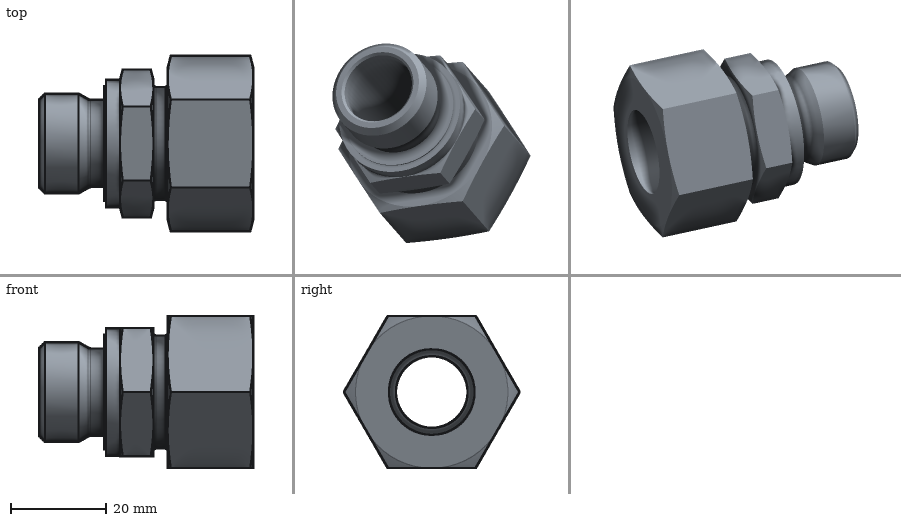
import cadquery as cq
import math


bore_radius = 15 / 2
bore_chamfer = 0.5
stud_radius = 20.955 / 2
stud_chamfer = 1.25
stud_length = 8.3
neck_radius = 9.2
neck_fillet = 1.0
relief_angle = math.radians(30)

shoulder_x = 14.0
flange_radius = 26.9 / 2
flange_width = 3.0
body_hex_size = 27.0
body_hex_width = 7.0
hex_chamfer_angle = math.radians(15)
hex_start = shoulder_x + flange_width
hex_end = hex_start + body_hex_width

thread_radius = 26 / 2
undercut_radius = 11.9
undercut_fillet = 1.0
undercut_fillet_length = 0.6
undercut_length = 2.55
body_length = 36.0

seal_radius = 12.05
seal_thickness = 1.5
seal_protrusion = 0.35
seal_start = shoulder_x - seal_protrusion
seal_end = seal_start + seal_thickness

nut_size = 32.0
nut_start = 27.0
nut_width = 18.0
nut_end = nut_start + nut_width
tube_radius = 18 / 2


def tube(inner_radius, outer_radius, start, end):
    """Plain round ring around the X axis."""
    return (
        cq.Workplane("YZ", origin=(start, 0, 0))
        .circle(outer_radius)
        .circle(inner_radius)
        .extrude(end - start)
    )


def rod(radius, start, end):
    """Plain round bar along the X axis."""
    return cq.Workplane("YZ", origin=(start, 0, 0)).circle(radius).extrude(end - start)


def turned(profile):
    """Solid of revolution about X of a closed (x, radius) profile."""
    return profile.close().revolve(360, (0, 0, 0), (1, 0, 0))


def chamfered_hexagon(size, start, end):
    """Hexagonal bar with flats facing +Z and -Z, its corners turned conical at both ends."""
    corner_radius = size / math.sqrt(3)
    chamfer_length = (corner_radius - size / 2) * math.tan(hex_chamfer_angle)
    bar = (
        cq.Workplane("YZ", origin=(start, 0, 0))
        .polygon(6, 2 * corner_radius)
        .extrude(end - start)
    )
    envelope = turned(
        cq.Workplane("XY")
        .moveTo(start, 0)
        .lineTo(start, size / 2)
        .lineTo(start + chamfer_length, corner_radius)
        .lineTo(end - chamfer_length, corner_radius)
        .lineTo(end, size / 2)
        .lineTo(end, 0)
    )
    return bar.intersect(envelope)


def make_stud():
    """Stud end with its relief cone running through a fillet into the neck."""
    cone_end = stud_length + (stud_radius - neck_radius) / math.tan(relief_angle)
    fillet_tangent = neck_fillet * math.tan(relief_angle / 2)
    fillet_start = cone_end - fillet_tangent * math.cos(relief_angle)
    fillet_start_radius = neck_radius + fillet_tangent * math.sin(relief_angle)
    fillet_end = cone_end + fillet_tangent
    fillet_mid = fillet_end - neck_fillet * math.sin(relief_angle / 2)
    fillet_mid_radius = neck_radius + neck_fillet * (1 - math.cos(relief_angle / 2))
    return turned(
        cq.Workplane("XY")
        .moveTo(0, 0)
        .lineTo(0, stud_radius - stud_chamfer)
        .lineTo(stud_chamfer, stud_radius)
        .lineTo(stud_length, stud_radius)
        .lineTo(fillet_start, fillet_start_radius)
        .threePointArc((fillet_mid, fillet_mid_radius), (fillet_end, neck_radius))
        .lineTo(shoulder_x, neck_radius)
        .lineTo(shoulder_x, 0)
    )


def undercut_fillet_radius_at(x):
    """Radius of the fillet surface between the hexagon face and the undercut at a given X."""
    distance = hex_end + undercut_fillet_length - x
    return undercut_radius + undercut_fillet - math.sqrt(undercut_fillet**2 - distance**2)


def make_threaded_end():
    """Undercut behind the hexagon, then a conical run-in up to the nut thread."""
    run_in_start = hex_end + undercut_length
    run_in_end = run_in_start + (thread_radius - undercut_radius) / math.tan(relief_angle)
    fillet_end = hex_end + undercut_fillet_length
    fillet_mid = hex_end + undercut_fillet_length / 2
    return turned(
        cq.Workplane("XY")
        .moveTo(hex_end, 0)
        .lineTo(hex_end, undercut_fillet_radius_at(hex_end))
        .threePointArc((fillet_mid, undercut_fillet_radius_at(fillet_mid)), (fillet_end, undercut_radius))
        .lineTo(run_in_start, undercut_radius)
        .lineTo(run_in_end, thread_radius)
        .lineTo(body_length, thread_radius)
        .lineTo(body_length, 0)
    )


def make_body():
    flange = rod(flange_radius, shoulder_x, hex_start)
    hexagon = chamfered_hexagon(body_hex_size, hex_start, hex_end)
    seal_recess = tube(neck_radius, seal_radius, shoulder_x, seal_end)
    body = make_stud().union(flange).union(hexagon).union(make_threaded_end())
    body = body.cut(seal_recess).cut(rod(bore_radius, 0, body_length))
    bore_mouth = body.faces("<X").edges(cq.selectors.RadiusNthSelector(0))
    return bore_mouth.chamfer(bore_chamfer)


def make_seal_ring():
    return tube(neck_radius, seal_radius, seal_start, seal_end)


def make_nut():
    """Union nut: threaded bore over the body, smaller tube hole behind it."""
    hexagon = chamfered_hexagon(nut_size, nut_start, nut_end)
    threaded_bore = rod(thread_radius, nut_start, body_length)
    tube_hole = rod(tube_radius, nut_start, nut_end)
    return hexagon.cut(threaded_bore).cut(tube_hole)


body = make_body()
seal_ring = make_seal_ring()
nut = make_nut()

result = cq.Compound.makeCompound([body.val(), seal_ring.val(), nut.val()])